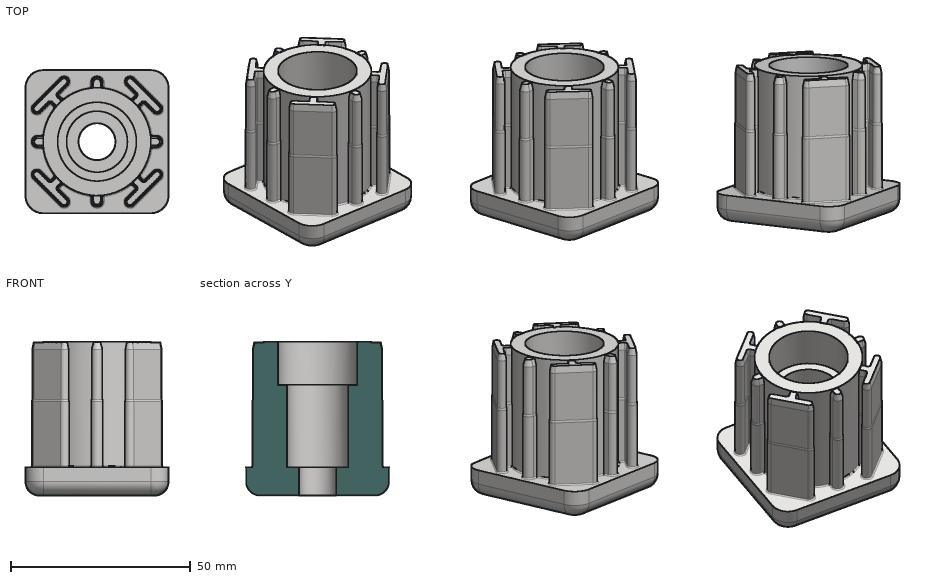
import cadquery as cq
import math

plate_side = 40.0
plate_height = 8.0
plate_corner_radius = 5.0
plate_bottom_fillet = 4.0

total_height = 43.0
tube_radius = 15.05
bore_radius = 11.0
bore_depth = 12.05
counterbore_radius = 8.5
hole_radius = 5.1

rib_top = 42.8
step_bottom = 26.3
step_top = 26.95
tip_bottom = 40.85
step_inset = 0.15
rib_root = 12.9
rib_reach = 18.2
foot_fillet = 0.35

rib_half_width = 1.65
rib_tip_inset = 0.5
rib_end_center = rib_reach - rib_half_width

stem_half_width = 1.5
bar_half_width = 1.4
tee_tip_inset = 0.4
bar_distance = 18.35
neck_fillet = 0.25
bar_half_length = (rib_reach - bar_half_width) * math.sqrt(2) - bar_distance


def plane_at(z):
    return cq.Workplane("XY").workplane(offset=z)


def make_plate():
    return (
        cq.Workplane("XY")
        .rect(plate_side, plate_side)
        .extrude(plate_height)
        .edges("|Z").fillet(plate_corner_radius)
        .faces("<Z").edges().fillet(plate_bottom_fillet)
    )


def straight_outline(plane):
    """Round-ended rib running outward along +X."""
    return (
        plane.moveTo(rib_root, -rib_half_width)
        .lineTo(rib_end_center, -rib_half_width)
        .threePointArc((rib_reach, 0), (rib_end_center, rib_half_width))
        .lineTo(rib_root, rib_half_width)
        .close()
    )


def tee_outline(plane):
    """Stem along +X carrying a round-ended crossbar parallel to Y."""
    inner = bar_distance - bar_half_width
    outer = bar_distance + bar_half_width
    bar_tip = bar_half_length + bar_half_width
    neck_x = inner - neck_fillet
    neck_y = stem_half_width + neck_fillet
    return (
        plane.moveTo(rib_root, -stem_half_width)
        .lineTo(neck_x, -stem_half_width)
        .radiusArc((inner, -neck_y), neck_fillet)
        .lineTo(inner, -bar_half_length)
        .threePointArc((bar_distance, -bar_tip), (outer, -bar_half_length))
        .lineTo(outer, bar_half_length)
        .threePointArc((bar_distance, bar_tip), (inner, bar_half_length))
        .lineTo(inner, neck_y)
        .radiusArc((neck_x, stem_half_width), neck_fillet)
        .lineTo(rib_root, stem_half_width)
        .close()
    )


def taper_angle(inset, height):
    return math.degrees(math.atan2(inset, height))


def make_rib(outline, tip_inset):
    """Stack the stages of one rib: lower, sloped step, upper, tapered tip."""
    step_height = step_top - step_bottom
    tip_height = rib_top - tip_bottom
    lower = outline(plane_at(plate_height)).extrude(step_bottom - plate_height)
    step_taper = taper_angle(step_inset, step_height)
    tip_taper = taper_angle(tip_inset, tip_height)
    step = outline(plane_at(step_bottom)).extrude(step_height, taper=step_taper)
    upper = step.faces(">Z").wires().toPending().extrude(tip_bottom - step_top, combine=False)
    tip = upper.faces(">Z").wires().toPending().extrude(tip_height, combine=False, taper=tip_taper)
    return lower.union(step).union(upper).union(tip)


def make_tube():
    return plane_at(plate_height).circle(tube_radius).extrude(total_height - plate_height)


body = make_plate().union(make_tube())

straight_rib = make_rib(straight_outline, rib_tip_inset)
tee_rib = make_rib(tee_outline, tee_tip_inset)
for quarter in range(4):
    angle = 90 * quarter
    body = body.union(straight_rib.rotate((0, 0, 0), (0, 0, 1), angle))
    body = body.union(tee_rib.rotate((0, 0, 0), (0, 0, 1), angle + 45))

zone_reach = rib_reach + foot_fillet
zone_margin = 0.05
foot_zone = cq.selectors.BoxSelector(
    (-zone_reach, -zone_reach, plate_height - zone_margin),
    (zone_reach, zone_reach, plate_height + zone_margin),
    boundingbox=True,
)
body = body.edges(foot_zone).fillet(foot_fillet)

bore_floor = total_height - bore_depth
bore = plane_at(bore_floor).circle(bore_radius).extrude(bore_depth)
counterbore = plane_at(plate_height).circle(counterbore_radius).extrude(bore_floor - plate_height)
hole = plane_at(0).circle(hole_radius).extrude(plate_height)

result = body.cut(bore).cut(counterbore).cut(hole)